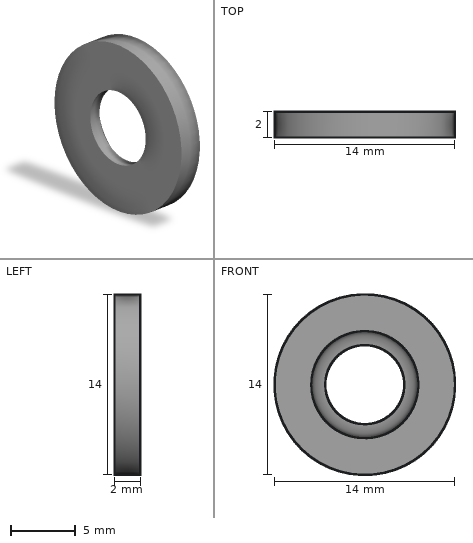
import cadquery as cq

outer_diameter = 14.0
thickness = 2.0
hole_diameter = 6.1
counterbore_diameter = 8.3
counterbore_depth = thickness / 2

disc = cq.Workplane("XZ").cylinder(thickness, outer_diameter / 2)

result = (
    disc.faces("<Y")
    .workplane(centerOption="CenterOfBoundBox")
    .cboreHole(hole_diameter, counterbore_diameter, counterbore_depth)
)